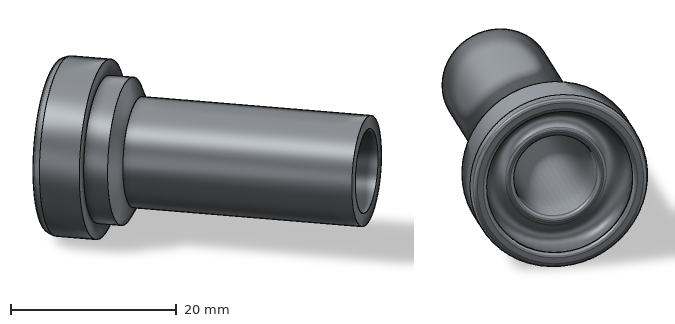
import cadquery as cq
import math

length = 39.0
flange_end = 6.0
collar_end = 9.0

flange_radius = 21.9 / 2
collar_radius = 18.0 / 2
tube_radius = 13.5 / 2
bore_radius = 10.3 / 2

shoulder_angle = math.radians(30)
shoulder_end = collar_end + (collar_radius - tube_radius) * math.tan(shoulder_angle)

taper_end = 1.0
taper_angle = math.radians(20)

edge_round = 0.5

groove_radius = 1.75
groove_center_radius = 7.5
lip_radius = 9.5
rim_flat_width = 0.2
rim_inner_radius = bore_radius + edge_round
rim_outer_radius = rim_inner_radius + rim_flat_width

center_distance = groove_radius + edge_round
lip_offset = lip_radius - groove_center_radius
rim_offset = groove_center_radius - rim_outer_radius
groove_center_depth = edge_round + math.sqrt(center_distance**2 - lip_offset**2)
rim_round_depth = groove_center_depth + math.sqrt(center_distance**2 - rim_offset**2)
rim_depth = rim_round_depth - edge_round

groove_center = (groove_center_depth, groove_center_radius)
lip_center = (edge_round, lip_radius)
rim_outer_center = (rim_round_depth, rim_outer_radius)
rim_inner_center = (rim_round_depth, rim_inner_radius)

taper_base_radius = flange_radius - taper_end * math.tan(taper_angle)
face_round_setback = edge_round * math.tan((math.pi / 2 - taper_angle) / 2)
face_radius = taper_base_radius - face_round_setback
face_center = (edge_round, face_radius)


def polar(center, radius, angle):
    """Point on a circle, at an angle measured from the +X direction."""
    return (center[0] + radius * math.cos(angle), center[1] + radius * math.sin(angle))


def direction(start, end):
    """Angle of the line from start to end."""
    return math.atan2(end[1] - start[1], end[0] - start[0])


def add_arc(outline, center, radius, start_angle, end_angle):
    """Continue the outline along an arc that begins at its current point."""
    middle = polar(center, radius, (start_angle + end_angle) / 2)
    return outline.threePointArc(middle, polar(center, radius, end_angle))


def add_outside(outline):
    """Flange face, taper, flange, collar, shoulder and tube."""
    outline = outline.lineTo(0, face_radius)
    outline = add_arc(outline, face_center, edge_round, math.pi, math.pi / 2 + taper_angle)
    return (
        outline.lineTo(taper_end, flange_radius)
        .lineTo(flange_end, flange_radius)
        .lineTo(flange_end, collar_radius)
        .lineTo(collar_end, collar_radius)
        .lineTo(shoulder_end, tube_radius)
        .lineTo(length, tube_radius)
    )


def add_inside(outline):
    """Bore, rounded bore rim, undercut groove and rounded lip."""
    rim_contact = direction(rim_outer_center, groove_center)
    lip_contact = direction(groove_center, lip_center)
    outline = outline.lineTo(length, bore_radius).lineTo(rim_round_depth, bore_radius)
    outline = add_arc(outline, rim_inner_center, edge_round, 3 * math.pi / 2, math.pi)
    outline = outline.lineTo(rim_depth, rim_outer_radius)
    outline = add_arc(outline, rim_outer_center, edge_round, math.pi, rim_contact)
    outline = add_arc(outline, groove_center, groove_radius, rim_contact - math.pi, lip_contact)
    return add_arc(outline, lip_center, edge_round, lip_contact + math.pi, math.pi)


half_section = cq.Workplane("XY").moveTo(0, lip_radius)
half_section = add_outside(half_section)
half_section = add_inside(half_section).close()
result = half_section.revolve(360, (0, 0, 0), (1, 0, 0))